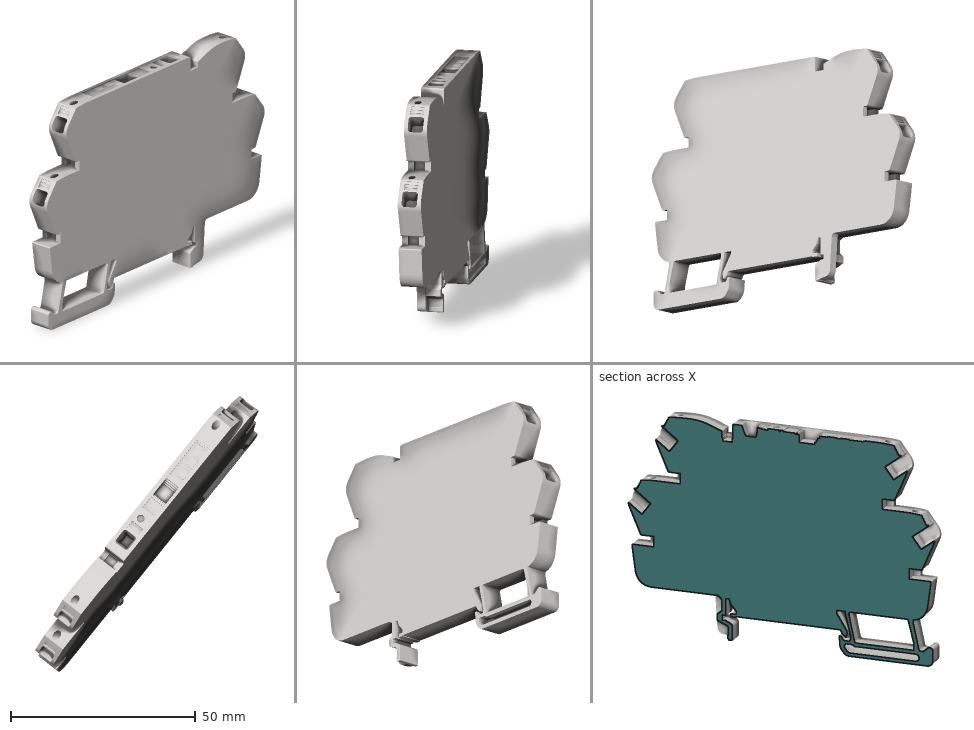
import cadquery as cq
import math


WIDTH = 6.4
LENGTH = 89.37
HEIGHT = 62.45
OVERLAP = 1.0

LOBE_STEP_OUT = 8.0
LOBE_STEP_DOWN = 19.0
BULGE_RADIUS = 3.685
BULGE_Y = LENGTH / 2 - LOBE_STEP_OUT - BULGE_RADIUS
BULGE_Z = 55.7
CHAMFER_ANGLE = 52.8
FLANK_ANGLE = 66.6
SHOULDER_Z = 62.1
SHOULDER_BEND_Y = 30.3
SHOULDER_BEND_RADIUS = 34.0
LOBE_BOTTOM_Z = 46.28
LOBE_HEEL_RADIUS = 0.7

UPPER_NOTCH_Y = 31.45
LOWER_NOTCH_Y = 39.25
NOTCH_FLOOR_Z = HEIGHT - LOBE_STEP_DOWN
NOTCH_POCKET_WIDTH = 3.1
NOTCH_POCKET_DEPTH = 2.0

BASE_TOP_Y = 43.6
BASE_BOTTOM_Y = 42.0
BASE_Z = 12.68
BASE_RADIUS = 4.8
BASE_EDGE_RADIUS = 0.3
CORE_Z = 7.26

DOME_BEND_Y = 23.6
DOME_RADIUS = 15.4
DOME_END_Z = 60.0
TOP_NOTCH_START_Y = 14.2
TOP_NOTCH_END_Y = 17.25
TOP_NOTCH_Z = 58.3
TOP_NOTCH_EDGE_RADIUS = 0.4
TOP_NOTCH_POCKET_LENGTH = 2.6
TOP_NOTCH_POCKET_DEPTH = 1.0

OPENING_WIDTH = 4.25
OPENING_HEIGHT = 4.15
OPENING_START = 3.55
OPENING_DEPTH = 6.0
OPENING_RADIUS = 0.8
BUTTON_WIDTH = 3.75
BUTTON_START = 0.55
BUTTON_HEIGHT = 2.55
BUTTON_TREADS = 3
BUTTON_TREAD_DROP = 0.15
TEST_HOLE_DIAMETER = 1.95
TEST_HOLE_X = 0.5
TEST_HOLE_Y = 30.95
TEST_HOLE_DEPTH = 4.0

SOCKET_LENGTH = 4.5
SOCKET_Y = 9.25
SOCKET_FLOOR_WIDTH = 2.0
SOCKET_FLOOR_LENGTH = 2.4
SOCKET_FLOOR_X = 0.15
SOCKET_FLOOR_Y = 8.55
SOCKET_FLOOR_RADIUS = 0.2
SOCKET_DEPTH = 6.0
TOP_BUTTON_START_Y = 6.6
LAMP_DIAMETER = 2.1
LAMP_Y = 2.15
LAMP_DEPTH = 1.0

PANEL_WIDTH = 4.35
PANEL_X = -0.17
PANEL_START_Y = -0.6
PANEL_END_Y = -24.4
PANEL_DEPTH = 0.3
PANEL_WELL_START_Y = -5.3
PANEL_WELL_END_Y = -9.6
PANEL_WELL_DEPTH = 2.5
PANEL_STAIR_TREADS = 3
PANEL_STAIR_END_Y = -11.0
PANEL_LEDGE_LENGTH = 0.5
PANEL_LEDGE_DEPTH = 0.15
PANEL_GROOVE_YS = (-4.25, -4.95)
PANEL_GROOVE_WIDTH = 0.25
PANEL_GROOVE_DEPTH = 0.3
PAD_SIZE = (2.1, 2.45)
PAD_X = -0.83
PAD_YS = (-14.6, -18.6)
PAD_HEIGHT = 0.15

CLIP_POCKET_DEPTH = 4.0
FOOT_POCKET_DEPTH = 3.0


def toward(start, end, distance):
    """Point at the given distance from start on the way to end."""
    share = distance / math.dist(start, end)
    return (start[0] + share * (end[0] - start[0]), start[1] + share * (end[1] - start[1]))


def rounded_corner(before, corner, after, radius):
    """Start, middle and end points of the arc that rounds a corner."""
    angle_in = math.atan2(corner[1] - before[1], corner[0] - before[0])
    angle_out = math.atan2(after[1] - corner[1], after[0] - corner[0])
    half_turn = abs(math.remainder(angle_out - angle_in, math.tau)) / 2
    start = toward(corner, before, radius * math.tan(half_turn))
    end = toward(corner, after, radius * math.tan(half_turn))
    chord_middle = ((start[0] + end[0]) / 2, (start[1] + end[1]) / 2)
    middle = toward(corner, chord_middle, radius / math.cos(half_turn) - radius)
    return start, middle, end


def plate(points, x_start=-WIDTH / 2, thickness=WIDTH):
    """Extrude a closed (y, z[, radius]) outline along X."""
    corners = [point[:2] for point in points]
    sketch = None
    for index, point in enumerate(points):
        arc = None
        entry = exit_point = point[:2]
        if len(point) == 3:
            following = corners[(index + 1) % len(corners)]
            arc = rounded_corner(corners[index - 1], corners[index], following, point[2])
            entry, exit_point = arc[0], arc[2]
        if sketch is None:
            sketch = cq.Workplane("YZ", origin=(x_start, 0, 0)).moveTo(*entry)
        else:
            sketch = sketch.lineTo(*entry)
        if arc:
            sketch = sketch.threePointArc(arc[1], exit_point)
    return sketch.close().extrude(thickness)


def sunk_box(x, y, width, length, depth, top=HEIGHT):
    """Box below the level `top`, centred on (x, y)."""
    return cq.Workplane("XY", origin=(x, y, top - depth)).rect(width, length).extrude(depth)


def sunk_span(x, width, y_high, y_low, depth, top=HEIGHT):
    """Box below the level `top`, between two Y positions."""
    return sunk_box(x, (y_high + y_low) / 2, width, y_high - y_low, depth, top)


def bulge_corner():
    """Where the wire face and the flank would meet without the bulge rounding."""
    face_normal = math.radians(90 - CHAMFER_ANGLE)
    flank_normal = -math.radians(90 - FLANK_ANGLE)
    middle = (face_normal + flank_normal) / 2
    reach = BULGE_RADIUS / math.cos((face_normal - flank_normal) / 2)
    return (BULGE_Y + reach * math.cos(middle), BULGE_Z + reach * math.sin(middle))


TIP_Y, TIP_Z = bulge_corner()
SHOULDER_Y = TIP_Y - (SHOULDER_Z - TIP_Z) / math.tan(math.radians(CHAMFER_ANGLE))
HEEL_Y = TIP_Y - (TIP_Z - LOBE_BOTTOM_Z) / math.tan(math.radians(FLANK_ANGLE))


def lobe_outline(notch_y, step):
    """Lobe on the +Y side, from its shoulder to the floor of the notch below it."""
    out = step * LOBE_STEP_OUT
    down = step * LOBE_STEP_DOWN
    return [
        (SHOULDER_Y + out, SHOULDER_Z - down),
        (TIP_Y + out, TIP_Z - down, BULGE_RADIUS),
        (HEEL_Y + out, LOBE_BOTTOM_Z - down, LOBE_HEEL_RADIUS),
        (notch_y, LOBE_BOTTOM_Z - down),
        (notch_y, NOTCH_FLOOR_Z - down),
    ]


def side_outline():
    """+Y edge of the body, from the upper shoulder to the underside."""
    lower_bend = (
        SHOULDER_BEND_Y + LOBE_STEP_OUT, HEIGHT - LOBE_STEP_DOWN, SHOULDER_BEND_RADIUS,
    )
    base = [
        (BASE_TOP_Y, NOTCH_FLOOR_Z - LOBE_STEP_DOWN, BASE_EDGE_RADIUS),
        (BASE_BOTTOM_Y, BASE_Z, BASE_RADIUS),
    ]
    return lobe_outline(UPPER_NOTCH_Y, 0) + [lower_bend] + lobe_outline(LOWER_NOTCH_Y, 1) + base


def body():
    bend = (SHOULDER_BEND_Y, HEIGHT, SHOULDER_BEND_RADIUS)
    plus_side = [bend] + side_outline()
    minus_side = [(-point[0],) + point[1:] for point in reversed(plus_side)]
    top_edge = [
        (TOP_NOTCH_START_Y, HEIGHT, TOP_NOTCH_EDGE_RADIUS),
        (TOP_NOTCH_START_Y, TOP_NOTCH_Z),
        (TOP_NOTCH_END_Y, TOP_NOTCH_Z),
        (TOP_NOTCH_END_Y, DOME_END_Z),
        (DOME_BEND_Y, HEIGHT, DOME_RADIUS),
    ]
    return plate(plus_side + minus_side + top_edge)


def rail_core():
    """Part between the clip and the foot, resting on the rail edges."""
    return plate([
        (16.1, BASE_Z + OVERLAP), (16.1, 12.1), (15.3, 12.1),
        (14.8, 10.55), (13.3, 8.95), (13.3, 8.05),
        (14.8, 8.05), (14.8, 7.05), (13.3, 7.05), (13.3, CORE_Z),
        (-17.15, CORE_Z, 0.3), (-17.6, 6.2), (-18.8, 5.15, 0.2),
        (-19.15, 6.5), (-19.15, 7.2, 1.5), (-16.1, 12.0),
        (-16.1, BASE_Z + OVERLAP),
    ])


def rail_clip():
    """Sprung clip: a full-width rim backed by a thin web."""
    clip = plate([
        (20.6, BASE_Z + OVERLAP), (20.6, BASE_Z), (20.15, 11.9), (19.45, 1.3, 1.8),
        (15.5, 0.6), (15.3, 0.3), (14.2, 0.3), (14.2, 4.9, 1.0),
        (16.3, 5.95, 0.5), (17.2, 5.95), (17.2, CORE_Z), (16.1, CORE_Z),
        (16.1, BASE_Z + OVERLAP),
    ])
    recess = plate([
        (21.0, BASE_Z), (18.6, BASE_Z), (17.5, 11.9, 0.8), (17.5, 8.5), (18.8, 7.4),
        (18.8, 5.6), (15.5, 4.2, 0.4), (15.5, 1.8), (15.75, 1.6),
        (15.75, -OVERLAP), (21.0, -OVERLAP),
    ], thickness=CLIP_POCKET_DEPTH)
    return clip.cut(recess)


def rail_foot():
    """Release foot hung from two slanted legs, with a long pocket in its -X side."""
    foot = plate([
        (-18.5, BASE_Z + OVERLAP), (-18.5, 12.2), (-20.15, 5.4),
        (-19.8, 4.4, 0.5), (-17.9, 4.5, 0.7), (-17.4, 5.6), (-16.7, 5.6),
        (-17.0, 2.2, 2.0), (-18.8, 0, 2.0), (-44.1, 0, 1.75), (-44.1, 5.45, 0.8), (-42.8, 5.45, 0.4),
        (-41.3, 4.15, 0.4), (-40.1, 4.15, 0.6), (-38.4, 11.9, 0.8),
        (-38.4, BASE_Z + OVERLAP),
    ])
    pocket = plate([
        (-18.3, 3.45, 0.6), (-20.7, 3.45), (-21.3, 3.0), (-39.95, 3.0, 0.9),
        (-39.95, 1.08, 0.9), (-19.5, 1.08, 1.0), (-18.3, 2.5),
    ], thickness=FOOT_POCKET_DEPTH)
    return foot.cut(pocket)


def foot_window():
    """Opening between the two legs of the foot, up to the underside of the body."""
    return plate([
        (-19.55, BASE_Z, 0.5), (-21.35, 4.15, 0.6), (-38.35, 4.15), (-38.35, 6.4),
        (-36.75, BASE_Z, 0.5),
    ])


def stepped_recess(plane, top_edge):
    """Shallow button recess on a plane: treads that step down away from its top edge."""
    tread = BUTTON_HEIGHT / BUTTON_TREADS
    recess = cq.Workplane(plane)
    for index in range(BUTTON_TREADS):
        tread_middle = top_edge - (index + 0.5) * tread
        step = cq.Workplane(plane).center(0, tread_middle).rect(BUTTON_WIDTH, tread)
        recess = recess.union(step.extrude(-(index + 1) * BUTTON_TREAD_DROP))
    return recess


def terminal_cutter():
    """Wire opening, button and test hole of the upper lobe on the -Y side."""
    slope = math.radians(CHAMFER_ANGLE)
    outward = cq.Vector(0, -math.sin(slope), math.cos(slope))
    face = cq.Plane(origin=(0, -SHOULDER_Y, SHOULDER_Z), xDir=(1, 0, 0), normal=outward)
    opening_y = -OPENING_START - OPENING_HEIGHT / 2
    opening = (
        cq.Workplane(face).workplane(offset=OVERLAP).center(0, opening_y)
        .rect(OPENING_WIDTH, OPENING_HEIGHT).extrude(-OPENING_DEPTH - OVERLAP)
        .edges(cq.selectors.ParallelDirSelector(outward)).fillet(OPENING_RADIUS)
    )
    button = stepped_recess(face, -BUTTON_START)
    hole_plane = cq.Plane(
        origin=(TEST_HOLE_X, -TEST_HOLE_Y, HEIGHT), xDir=(1, 0, 0), normal=outward,
    )
    hole = (
        cq.Workplane(hole_plane).workplane(offset=2 * OVERLAP)
        .circle(TEST_HOLE_DIAMETER / 2).extrude(-TEST_HOLE_DEPTH - 2 * OVERLAP)
    )
    return opening.union(button).union(hole)


def notch_pocket():
    """Pocket in the inner wall of the upper notch on the -Y side."""
    return sunk_span(
        0, NOTCH_POCKET_WIDTH, -UPPER_NOTCH_Y + NOTCH_POCKET_DEPTH, -UPPER_NOTCH_Y,
        LOBE_BOTTOM_Z - NOTCH_FLOOR_Z, LOBE_BOTTOM_Z,
    )


def cut_terminals(part):
    terminal = terminal_cutter()
    pocket = notch_pocket()
    lower_terminal = terminal.translate((0, -LOBE_STEP_OUT, -LOBE_STEP_DOWN))
    lower_pocket = pocket.translate((0, UPPER_NOTCH_Y - LOWER_NOTCH_Y, -LOBE_STEP_DOWN))
    for cutter in (terminal, pocket, lower_terminal, lower_pocket):
        part = part.cut(cutter).cut(cutter.mirror("XZ"))
    return part


def cut_plug_socket(part):
    mouth = cq.Sketch().rect(OPENING_WIDTH, SOCKET_LENGTH).vertices().fillet(OPENING_RADIUS)
    floor = (
        cq.Sketch().rect(SOCKET_FLOOR_WIDTH, SOCKET_FLOOR_LENGTH)
        .vertices().fillet(SOCKET_FLOOR_RADIUS)
    )
    floor_offset = cq.Vector(SOCKET_FLOOR_X, SOCKET_FLOOR_Y - SOCKET_Y, -SOCKET_DEPTH)
    socket = (
        cq.Workplane("XY", origin=(0, SOCKET_Y, HEIGHT))
        .placeSketch(mouth, floor.moved(cq.Location(floor_offset))).loft()
    )
    top_plane = cq.Plane(origin=(0, 0, HEIGHT), xDir=(1, 0, 0), normal=(0, 0, 1))
    button = stepped_recess(top_plane, TOP_BUTTON_START_Y)
    lamp = (
        cq.Workplane("XY", origin=(TEST_HOLE_X, LAMP_Y, HEIGHT))
        .circle(LAMP_DIAMETER / 2).extrude(-LAMP_DEPTH)
    )
    return part.cut(socket).cut(button).cut(lamp)


def cut_label_panel(part):
    floor = HEIGHT - PANEL_DEPTH
    ledge_y = PANEL_END_Y + PANEL_LEDGE_LENGTH
    part = part.cut(sunk_span(PANEL_X, PANEL_WIDTH, PANEL_START_Y, ledge_y, PANEL_DEPTH))
    part = part.cut(sunk_span(PANEL_X, PANEL_WIDTH, ledge_y, PANEL_END_Y, PANEL_LEDGE_DEPTH))
    part = part.cut(sunk_span(
        PANEL_X, PANEL_WIDTH, PANEL_WELL_START_Y, PANEL_WELL_END_Y, PANEL_WELL_DEPTH, floor))
    tread = (PANEL_WELL_END_Y - PANEL_STAIR_END_Y) / PANEL_STAIR_TREADS
    for index in range(PANEL_STAIR_TREADS):
        tread_y = PANEL_WELL_END_Y - (index + 0.5) * tread
        tread_depth = PANEL_WELL_DEPTH * (1 - (index + 1) / (PANEL_STAIR_TREADS + 1))
        part = part.cut(sunk_box(PANEL_X, tread_y, PANEL_WIDTH, tread, tread_depth, floor))
    for groove_y in PANEL_GROOVE_YS:
        part = part.cut(sunk_box(
            PANEL_X, groove_y, PANEL_WIDTH, PANEL_GROOVE_WIDTH, PANEL_GROOVE_DEPTH, floor))
    for pad_y in PAD_YS:
        part = part.union(sunk_box(
            PAD_X, pad_y, *PAD_SIZE, PAD_HEIGHT + PANEL_DEPTH, floor + PAD_HEIGHT))
    return part


def cut_top_notch_pocket(part):
    middle = (TOP_NOTCH_START_Y + TOP_NOTCH_END_Y) / 2
    return part.cut(sunk_box(
        0, middle, NOTCH_POCKET_WIDTH, TOP_NOTCH_POCKET_LENGTH, TOP_NOTCH_POCKET_DEPTH, TOP_NOTCH_Z))


result = body().union(rail_core()).union(rail_clip()).union(rail_foot())
result = result.cut(foot_window())
result = cut_terminals(result)
result = cut_plug_socket(result)
result = cut_label_panel(result)
result = cut_top_notch_pocket(result)